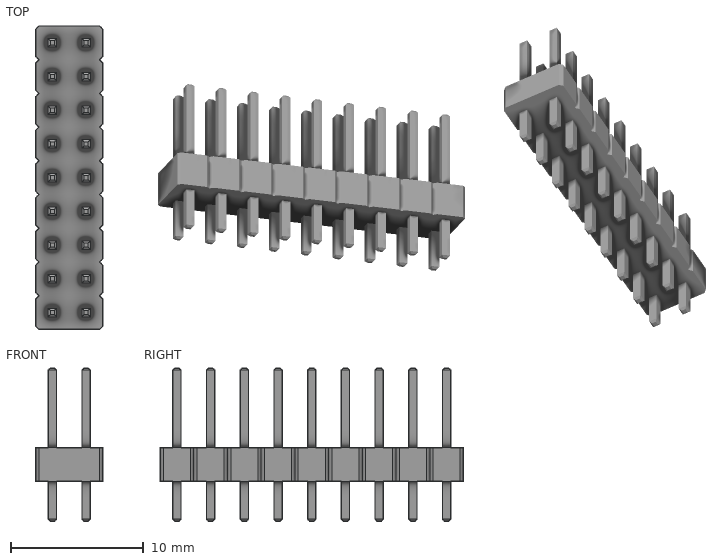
import cadquery as cq

pitch = 2.54
columns = 2
rows = 9

body_height = pitch
corner_chamfer = 0.25

pin_width = 0.64
pin_above_body = 6.0
pin_below_body = 3.0
pin_length = pin_below_body + body_height + pin_above_body
tip_chamfer = 0.16

body_width = columns * pitch


def centred_positions(count):
    """Coordinates of `count` items at the pitch, centred on zero."""
    return [(i - (count - 1) / 2) * pitch for i in range(count)]


def make_body_segment(y_centre):
    """One-pitch block of the housing with bevelled vertical edges."""
    return (
        cq.Workplane("XY")
        .center(0, y_centre)
        .rect(body_width, pitch)
        .extrude(body_height)
        .edges("|Z")
        .chamfer(corner_chamfer)
    )


def make_pin(x, y):
    """Square pin through the housing with bevelled tips at both ends."""
    return (
        cq.Workplane("XY", origin=(x, y, -pin_below_body))
        .rect(pin_width, pin_width)
        .extrude(pin_length)
        .faces("<Z or >Z")
        .chamfer(tip_chamfer)
    )


result = cq.Workplane("XY")
for y in centred_positions(rows):
    result = result.union(make_body_segment(y))
for x in centred_positions(columns):
    for y in centred_positions(rows):
        result = result.union(make_pin(x, y))